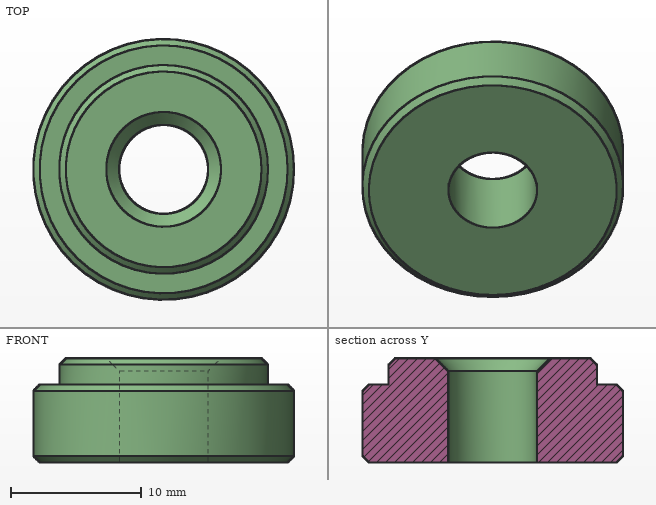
import cadquery as cq

base_diameter = 20
base_height = 6
boss_diameter = 16
boss_height = 2
edge_chamfer = 0.5
bore_diameter = 6.8
bore_chamfer = 1

total_height = base_height + boss_height


def chamfered_disc(diameter, height, chamfered_edges):
    """Disc standing on the XY plane with the selected rims chamfered."""
    disc = cq.Workplane("XY").circle(diameter / 2).extrude(height)
    return disc.edges(chamfered_edges).chamfer(edge_chamfer)


base = chamfered_disc(base_diameter, base_height, "%CIRCLE")

boss = chamfered_disc(boss_diameter, total_height, ">Z")

bore = cq.Workplane("XY").circle(bore_diameter / 2).extrude(total_height)
lead_in = (
    cq.Workplane("XY", origin=(0, 0, total_height))
    .circle(bore_diameter / 2 + bore_chamfer)
    .workplane(offset=-bore_chamfer)
    .circle(bore_diameter / 2)
    .loft(ruled=True)
)

result = base.union(boss).cut(bore).cut(lead_in)